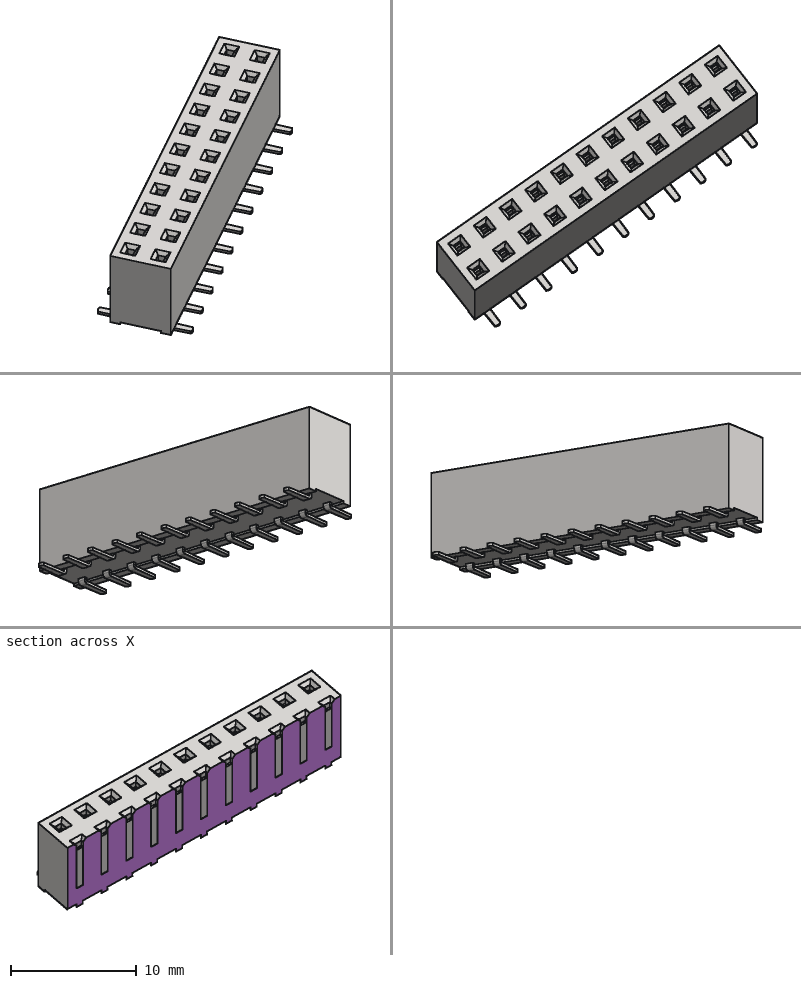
import cadquery as cq

positions = 11
rows = 2
body_length = 27.95
overall_width = 7.93
overall_height = 7.3

pitch = body_length / positions
body_width = rows * pitch
foot_width = 0.85
foot_bottom = 0.3
channel_top = 0.5

mouth_size = 1.25
throat_size = 0.65
funnel_depth = (mouth_size - throat_size) / 2
socket_depth = 5.03

leaf_thickness = 0.2
leaf_top_depth = 0.85

tail_root_width = 0.65
tail_tip_width = 0.53
tail_thickness = 0.25
tail_inside_radius = 0.05
tail_bend_radius = tail_inside_radius + tail_thickness
tail_tip_bulge = 0.08
tail_inner_x = 1.12

row_x = pitch / 2
contact_ys = [(i - (positions - 1) / 2) * pitch for i in range(positions)]


def make_body():
    """Rectangular block standing on two long feet with a channel between them."""
    height = overall_height - foot_bottom
    block = cq.Workplane("XY").workplane(offset=foot_bottom).rect(body_width, body_length).extrude(height)
    channel = (
        cq.Workplane("XY")
        .workplane(offset=foot_bottom)
        .rect(body_width - 2 * foot_width, body_length)
        .extrude(channel_top - foot_bottom)
    )
    return block.cut(channel)


def make_socket():
    """Square hole with a tapered mouth, centred on the origin at the top face."""
    top = cq.Workplane("XY").workplane(offset=overall_height)
    funnel = (
        top.rect(mouth_size, mouth_size)
        .workplane(offset=-funnel_depth)
        .rect(throat_size, throat_size)
        .loft(combine=True)
    )
    well = top.rect(throat_size, throat_size).extrude(-socket_depth)
    socket = funnel.union(well)
    leaf_height = socket_depth - leaf_top_depth
    leaf_x = (throat_size - leaf_thickness) / 2
    leaves = (
        cq.Workplane("XY")
        .workplane(offset=overall_height - socket_depth)
        .pushPoints([(-leaf_x, 0), (leaf_x, 0)])
        .rect(leaf_thickness, throat_size)
        .extrude(leaf_height)
    )
    return socket.cut(leaves)


def make_tail():
    """L-shaped tail bending outward along +X, tapering in plan to a rounded tip."""
    outer_x = overall_width / 2
    bend_x = tail_inner_x + tail_bend_radius
    leg_outer_x = tail_inner_x + tail_thickness
    bent_strip = (
        cq.Workplane("XZ")
        .moveTo(tail_inner_x, channel_top)
        .lineTo(tail_inner_x, tail_bend_radius)
        .radiusArc((bend_x, 0), -tail_bend_radius)
        .lineTo(outer_x, 0)
        .lineTo(outer_x, tail_thickness)
        .lineTo(bend_x, tail_thickness)
        .radiusArc((leg_outer_x, tail_bend_radius), tail_inside_radius)
        .lineTo(leg_outer_x, channel_top)
        .close()
        .extrude(tail_root_width / 2, both=True)
    )
    shoulder_x = outer_x - tail_tip_bulge
    outline = (
        cq.Workplane("XY")
        .moveTo(tail_inner_x, -tail_root_width / 2)
        .lineTo(leg_outer_x, -tail_root_width / 2)
        .lineTo(shoulder_x, -tail_tip_width / 2)
        .threePointArc((outer_x, 0), (shoulder_x, tail_tip_width / 2))
        .lineTo(leg_outer_x, tail_root_width / 2)
        .lineTo(tail_inner_x, tail_root_width / 2)
        .close()
        .extrude(channel_top)
    )
    return bent_strip.intersect(outline)


body = make_body()
socket = make_socket()
right_tail = make_tail()
left_tail = right_tail.mirror("YZ")

result = body
for y in contact_ys:
    for x in (-row_x, row_x):
        result = result.cut(socket.translate((x, y, 0)))
    for tail in (left_tail, right_tail):
        result = result.union(tail.translate((0, y, 0)))